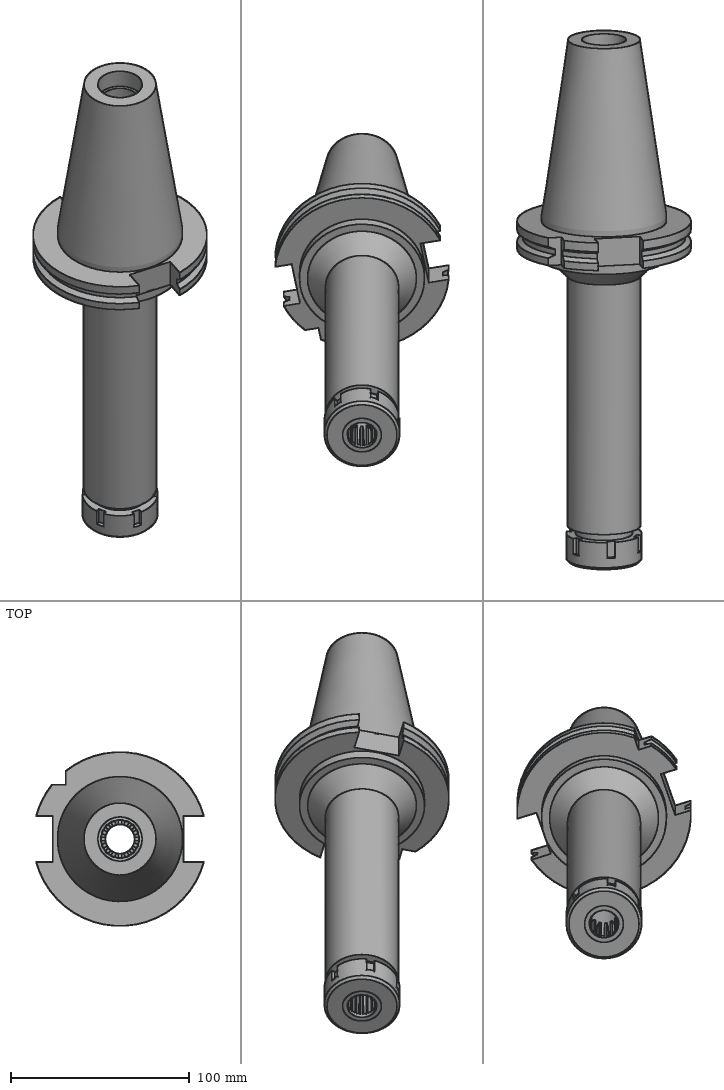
import cadquery as cq
import math


total_length = 301.8

taper_length = 101.7
gauge_radius = 35.0
taper_slope = 7 / 24 / 2
taper_end_radius = gauge_radius - taper_length * taper_slope
nose_end_z = taper_length - total_length

flange_diameter = 97.5
flange_radius = flange_diameter / 2
flange_top_z = -3.3
flange_thickness = 16.0
flange_bottom_z = flange_top_z - flange_thickness
groove_floor_radius = 45.5
groove_floor_width = 3.0
groove_flank_angle = 30.0
groove_center_depth = 8.5
groove_center_z = flange_top_z - groove_center_depth

slot_width = 25.5
left_slot_floor_x = 37.7
right_slot_floor_x = 35.5
notch_corner_x = 30.5
notch_corner_y = 30.5

collar_bottom_z = -25.0
shoulder_radius = 30.5
shank_top_z = -35.0
shank_radius = 20.5
shank_bottom_z = -179.5
neck_radius = 16.0

counterbore_radius = 12.5
counterbore_depth = 10.5
bore_radius = 10.5

nut_radius = 21.0
nut_height = 16.0
nut_top_z = nose_end_z + nut_height
nut_chamfer = 1.5
wrench_slot_count = 6
wrench_slot_width = 4.5
wrench_slot_height = 9.0
wrench_slot_depth = 2.5

collet_max_radius = 13.0
collet_seat_angle = 8.0
collet_front_radius = 11.0
collet_front_angle = 30.0
collet_bore_radius = 8.0
collet_slit_count = 16
collet_slit_width = 2.0
collet_floor_thickness = 3.0
neck_end_height = 7.0
neck_end_z = nose_end_z + neck_end_height
seat_length = (collet_max_radius - bore_radius) / math.tan(math.radians(collet_seat_angle))
collet_top_z = neck_end_z + seat_length
front_cone_height = (collet_max_radius - collet_front_radius) / math.tan(math.radians(collet_front_angle))
front_cone_end_z = neck_end_z - front_cone_height


def revolve_profile(points):
    """Turn a closed (radius, z) outline about the Z axis."""
    return cq.Workplane("XZ").polyline(points).close().revolve(360, (0, 0, 0), (0, 1, 0))


def block(x_range, y_range, z_range):
    """Box between the given limits on each axis."""
    size = [high - low for low, high in (x_range, y_range, z_range)]
    corner = (x_range[0], y_range[0], z_range[0])
    return cq.Workplane("XY").box(*size, centered=False).translate(corner)


def cut_drive_features(body):
    """Cut both drive slots and the corner notch through the flange thickness."""
    flange_z = (flange_bottom_z, flange_top_z)
    slot_y = (-slot_width / 2, slot_width / 2)
    body = body.cut(block((-flange_radius, -left_slot_floor_x), slot_y, flange_z))
    body = body.cut(block((right_slot_floor_x, flange_radius), slot_y, flange_z))
    notch_x = (-flange_radius, -notch_corner_x)
    notch_y = (notch_corner_y, flange_radius)
    return body.cut(block(notch_x, notch_y, flange_z))


def make_holder():
    groove_depth = flange_radius - groove_floor_radius
    floor_half = groove_floor_width / 2
    mouth_half = floor_half + groove_depth * math.tan(math.radians(groove_flank_angle))
    outline = [
        (counterbore_radius, taper_length),
        (taper_end_radius, taper_length),
        (gauge_radius, 0),
        (gauge_radius, flange_top_z),
        (flange_radius, flange_top_z),
        (flange_radius, groove_center_z + mouth_half),
        (groove_floor_radius, groove_center_z + floor_half),
        (groove_floor_radius, groove_center_z - floor_half),
        (flange_radius, groove_center_z - mouth_half),
        (flange_radius, flange_bottom_z),
        (gauge_radius, flange_bottom_z),
        (gauge_radius, collar_bottom_z),
        (shoulder_radius, collar_bottom_z),
        (shank_radius, shank_top_z),
        (shank_radius, shank_bottom_z),
        (neck_radius, shank_bottom_z),
        (neck_radius, neck_end_z),
        (collet_max_radius, neck_end_z),
        (bore_radius, collet_top_z),
        (bore_radius, taper_length - counterbore_depth),
        (counterbore_radius, taper_length - counterbore_depth),
    ]
    return cut_drive_features(revolve_profile(outline))


def make_nut():
    outline = [
        (neck_radius, nut_top_z),
        (nut_radius, nut_top_z),
        (nut_radius, nose_end_z + nut_chamfer),
        (nut_radius - nut_chamfer, nose_end_z),
        (collet_front_radius, nose_end_z),
        (collet_front_radius, front_cone_end_z),
        (collet_max_radius, neck_end_z),
        (neck_radius, neck_end_z),
    ]
    nut = revolve_profile(outline)
    wrench_slot = block(
        (nut_radius - wrench_slot_depth, nut_radius + wrench_slot_depth),
        (-wrench_slot_width / 2, wrench_slot_width / 2),
        (nut_top_z - wrench_slot_height, nut_top_z),
    )
    for index in range(wrench_slot_count):
        angle = index * 360 / wrench_slot_count
        nut = nut.cut(wrench_slot.rotate((0, 0, 0), (0, 0, 1), angle))
    return nut


def make_collet():
    outline = [
        (collet_bore_radius, collet_top_z),
        (bore_radius, collet_top_z),
        (collet_max_radius, neck_end_z),
        (collet_front_radius, front_cone_end_z),
        (collet_front_radius, nose_end_z),
        (collet_bore_radius, nose_end_z),
    ]
    collet = revolve_profile(outline)
    slit = block(
        (0, collet_max_radius),
        (-collet_slit_width / 2, collet_slit_width / 2),
        (nose_end_z + collet_floor_thickness, collet_top_z),
    )
    for index in range(collet_slit_count):
        angle = index * 360 / collet_slit_count
        collet = collet.cut(slit.rotate((0, 0, 0), (0, 0, 1), angle))
    return collet


holder = make_holder()
nut = make_nut()
collet = make_collet()

result = cq.Compound.makeCompound([holder.val(), nut.val(), collet.val()])